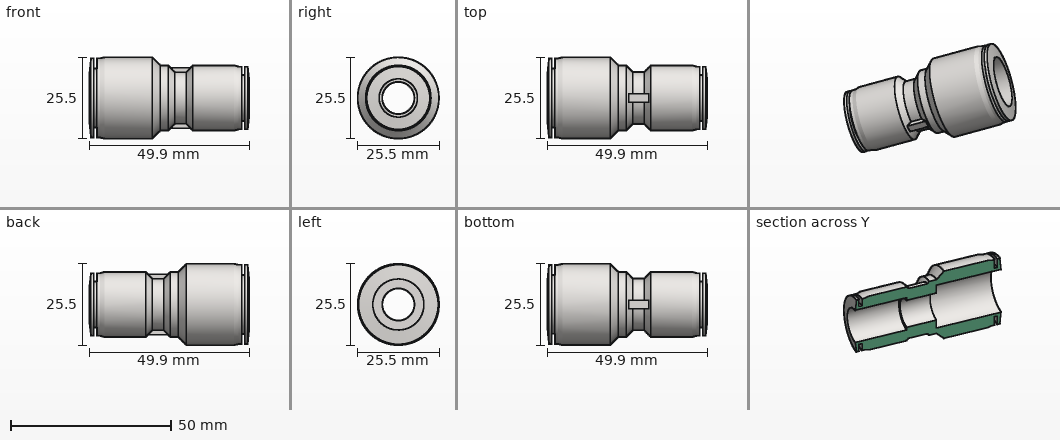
import cadquery as cq

length = 49.9
bore_radius = 5.0

large_radius = 25.5 / 2
large_lip_radius = 12.45
large_groove_radius = 9.25
large_socket_radius = 8.0
large_body_end = 19.6

small_radius = 20.45 / 2
small_lip_radius = 9.85
small_groove_radius = 7.25
small_socket_radius = 6.0
small_body_start = 32.35

collar_cone_length = 0.45
collar_end = 1.4
lip_start = 2.3
lip_end = 3.35
lip_taper_end = 4.7

neck_radius = 8.15
shoulder_end = 24.6
large_shoulder_length = large_radius - small_radius
neck_shoulder_length = small_radius - neck_radius

rib_half_height = 9.5
rib_width = 2.6


def end_profile(socket, lip, groove, body):
    """(distance from end face, radius) points from the socket rim to the body."""
    return [
        (0, socket),
        (collar_cone_length, lip),
        (collar_end, lip),
        (collar_end, groove),
        (lip_start, groove),
        (lip_start, lip),
        (lip_end, lip),
        (lip_taper_end, body),
    ]


def cylinder(start, end, radius):
    """Cylinder along X between two stations."""
    return cq.Workplane("YZ", origin=(start, 0, 0)).circle(radius).extrude(end - start)


large_end = end_profile(large_socket_radius, large_lip_radius, large_groove_radius, large_radius)
small_end = end_profile(small_socket_radius, small_lip_radius, small_groove_radius, small_radius)
waist = [
    (large_body_end, large_radius),
    (large_body_end + large_shoulder_length, small_radius),
    (shoulder_end, small_radius),
    (shoulder_end + neck_shoulder_length, neck_radius),
    (small_body_start - neck_shoulder_length, neck_radius),
    (small_body_start, small_radius),
]
small_end_from_body = [(length - distance, radius) for distance, radius in reversed(small_end)]
outline = [(0, 0)] + large_end + waist + small_end_from_body + [(length, 0)]
body = cq.Workplane("XY").polyline(outline).close().revolve(360, (0, 0, 0), (1, 0, 0))

rib_inset = small_radius - rib_half_height
rib_length = small_body_start - shoulder_end - 2 * rib_inset
rib_center = (small_body_start + shoulder_end) / 2
rib_plate = cq.Workplane("XY").box(rib_length, rib_width, 2 * rib_half_height)
ribs = rib_plate.translate((rib_center, 0, 0))

large_socket = cylinder(0, large_body_end + large_shoulder_length, large_socket_radius)
small_socket = cylinder(small_body_start, length, small_socket_radius)
bore = cylinder(0, length, bore_radius)

result = body.union(ribs).cut(large_socket).cut(small_socket).cut(bore)